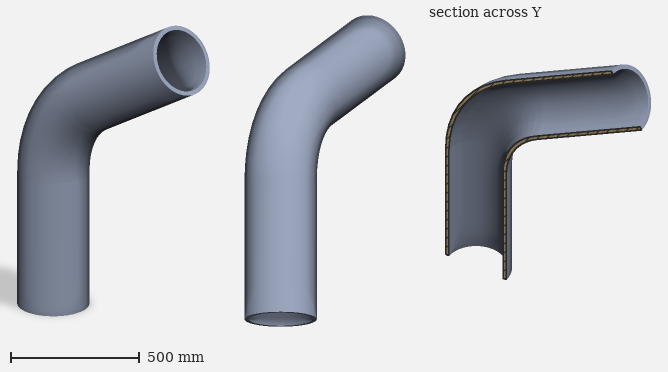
import cadquery as cq
import math

outer_diameter = 280.0
inner_diameter = 246.0

leg_length = 553.0
overall_height = 1317.0
bend_angle = 60.0

angle = math.radians(bend_angle)

bend_height = overall_height - leg_length * (1 + math.cos(angle))
bend_radius = bend_height / math.sin(angle) - outer_diameter / 2


def bend_point(turn):
    """Centreline point (X, Z) after turning through the given angle in radians."""
    x = bend_radius * (1 - math.cos(turn))
    z = leg_length + bend_radius * math.sin(turn)
    return x, z


bend_start = bend_point(0)
bend_middle = bend_point(angle / 2)
bend_end = bend_point(angle)
pipe_end = (
    bend_end[0] + leg_length * math.sin(angle),
    bend_end[1] + leg_length * math.cos(angle),
)

centreline = (
    cq.Workplane("XZ")
    .moveTo(0, 0)
    .lineTo(*bend_start)
    .threePointArc(bend_middle, bend_end)
    .lineTo(*pipe_end)
)

result = (
    cq.Workplane("XY")
    .circle(outer_diameter / 2)
    .circle(inner_diameter / 2)
    .sweep(centreline)
)